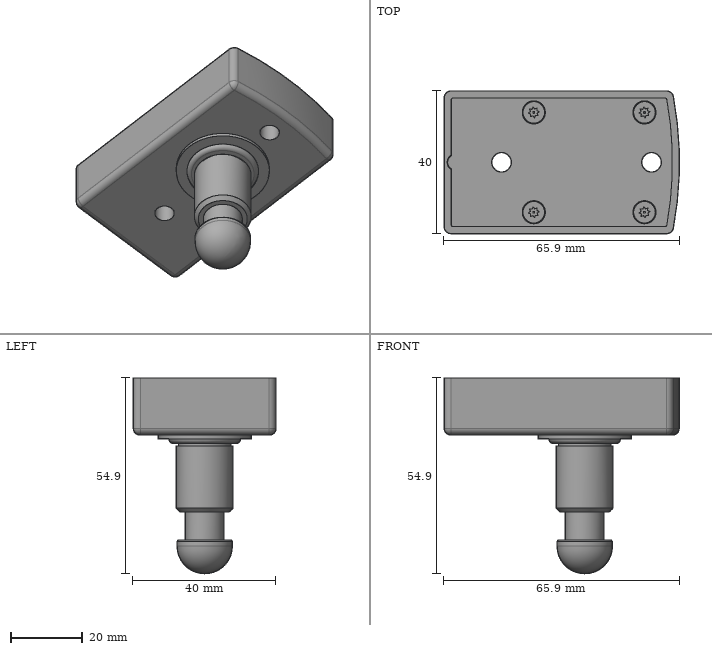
import cadquery as cq
import math


LENGTH = 65.9
WIDTH = 40.0
HEIGHT = 16.0
LEFT = -39.35
NOSE_RADIUS = 100.2
CORNER_RADIUS = 2.0
BOTTOM_RADIUS = 1.9
RIM = 2.0
RECESS_CORNER_RADIUS = 0.65

LID_THICKNESS = 2.65
LID_GAP = 0.1
TAB_RADIUS = 2.3
TAB_CENTRE_X = LEFT + 3.15

HOLE_RADIUS = 2.7
HOLE_POSITIONS = [(LEFT + 16.1, 0), (LEFT + 58.05, 0)]

SCREW_MIDDLE_X = LEFT + 40.6
SCREW_SPACING_X = 31.0
SCREW_SPACING_Y = 27.95
SCREW_POSITIONS = [
    (SCREW_MIDDLE_X + side_x * SCREW_SPACING_X / 2, side_y * SCREW_SPACING_Y / 2)
    for side_x in (-1, 1)
    for side_y in (-1, 1)
]
SINK_RADIUS = 3.2
HEAD_DROP = 0.2
SHANK_RADIUS = 1.5
SCREW_LENGTH = 7.9
SOCKET_DEPTH = 1.0
SOCKET_POINTS = 8
SOCKET_TIP_RADIUS = 1.5
SOCKET_ROOT_RADIUS = 1.0
SOCKET_TURN = 7.0
SOCKET_PIN_RADIUS = 0.25

FLANGE_RADIUS = 13.05
FLANGE_THICKNESS = 1.05
STEP_RADIUS = 10.0
STEP_THICKNESS = 1.3
STEP_EDGE_RADIUS = 1.25
BUSHING_BOTTOM = -(FLANGE_THICKNESS + STEP_THICKNESS)

TOTAL_HEIGHT = 54.85
COLLAR_RADIUS = 7.4
SLEEVE_RADIUS = 8.0
SLEEVE_TOP = -3.0
SLEEVE_BOTTOM = -21.55
SLEEVE_CHAMFER = 1.1
NECK_RADIUS = 5.5
BALL_RADIUS = 7.8
BALL_BOTTOM = HEIGHT - TOTAL_HEIGHT
BALL_CENTRE = BALL_BOTTOM + BALL_RADIUS
BALL_TOP = -29.3
BALL_EDGE_CHAMFER = 0.4


def body_outline(inset, corner_radius, bottom, height):
    """Block with one flat end and one bulging end, moved inwards by the inset."""
    half_width = WIDTH / 2 - inset
    nose_radius = NOSE_RADIUS - inset
    nose_x = LEFT + LENGTH - inset
    shoulder_x = nose_x - nose_radius + math.sqrt(nose_radius**2 - half_width**2)
    return (
        cq.Workplane("XY", origin=(0, 0, bottom))
        .moveTo(LEFT + inset, -half_width)
        .lineTo(shoulder_x, -half_width)
        .threePointArc((nose_x, 0), (shoulder_x, half_width))
        .lineTo(LEFT + inset, half_width)
        .close()
        .extrude(height)
        .edges("|Z")
        .fillet(corner_radius)
    )


def lid_blank(gap):
    """Lid shape with its round tab, drawn back by the gap at the flat end."""
    bottom = HEIGHT - LID_THICKNESS
    plate = body_outline(RIM, RECESS_CORNER_RADIUS, bottom, LID_THICKNESS)
    if gap > 0:
        gap_strip = cq.Workplane("XY").box(RIM + gap, WIDTH, HEIGHT, centered=(False, True, False))
        plate = plate.cut(gap_strip.translate((LEFT, 0, 0)))
    tab = (
        cq.Workplane("XY", origin=(TAB_CENTRE_X, 0, bottom))
        .circle(TAB_RADIUS - gap)
        .extrude(LID_THICKNESS)
    )
    return plate.union(tab)


def through_holes():
    return cq.Workplane("XY").pushPoints(HOLE_POSITIONS).circle(HOLE_RADIUS).extrude(HEIGHT)


def screw_envelope(top_radius, top):
    """90 degree countersunk head and shank, up to the given height."""
    cone_end = HEIGHT - (SINK_RADIUS - SHANK_RADIUS)
    screw_end = HEIGHT - SCREW_LENGTH
    return (
        cq.Workplane("XZ")
        .moveTo(0, top)
        .lineTo(top_radius, top)
        .lineTo(SHANK_RADIUS, cone_end)
        .lineTo(SHANK_RADIUS, screw_end)
        .lineTo(0, screw_end)
        .close()
        .revolve(360, (0, 0), (0, 1))
    )


def screw_holes():
    hole = screw_envelope(SINK_RADIUS, HEIGHT)
    holes = cq.Workplane("XY")
    for x, y in SCREW_POSITIONS:
        holes = holes.add(hole.translate((x, y, 0)))
    return holes.combine()


def star_socket(top):
    """Pointed star recess with a central pin left standing."""
    points = []
    for i in range(2 * SOCKET_POINTS):
        radius = SOCKET_TIP_RADIUS if i % 2 == 0 else SOCKET_ROOT_RADIUS
        angle = math.radians(SOCKET_TURN + i * 180 / SOCKET_POINTS)
        points.append((radius * math.cos(angle), radius * math.sin(angle)))
    floor = cq.Workplane("XY", origin=(0, 0, top - SOCKET_DEPTH))
    pin = floor.circle(SOCKET_PIN_RADIUS).extrude(SOCKET_DEPTH)
    return floor.polyline(points).close().extrude(SOCKET_DEPTH).cut(pin)


def make_housing():
    block = body_outline(0, CORNER_RADIUS, 0, HEIGHT)
    block = block.faces("<Z").edges().fillet(BOTTOM_RADIUS)
    return block.cut(lid_blank(0)).cut(through_holes()).cut(screw_holes())


def make_lid():
    return lid_blank(LID_GAP).cut(through_holes()).cut(screw_holes())


def make_screw(x, y):
    head_top = HEIGHT - HEAD_DROP
    screw = screw_envelope(SINK_RADIUS - HEAD_DROP, head_top).cut(star_socket(head_top))
    return screw.translate((x, y, 0))


def make_bushing():
    flange = cq.Workplane("XY").circle(FLANGE_RADIUS).extrude(-FLANGE_THICKNESS)
    step = (
        cq.Workplane("XY")
        .circle(STEP_RADIUS)
        .extrude(BUSHING_BOTTOM)
        .faces("<Z")
        .edges()
        .fillet(STEP_EDGE_RADIUS)
    )
    return flange.union(step)


def make_stud():
    diagonal = BALL_RADIUS * math.sqrt(0.5)
    return (
        cq.Workplane("XZ")
        .moveTo(0, BUSHING_BOTTOM)
        .lineTo(COLLAR_RADIUS, BUSHING_BOTTOM)
        .lineTo(COLLAR_RADIUS, SLEEVE_TOP)
        .lineTo(SLEEVE_RADIUS, SLEEVE_TOP)
        .lineTo(SLEEVE_RADIUS, SLEEVE_BOTTOM + SLEEVE_CHAMFER)
        .lineTo(SLEEVE_RADIUS - SLEEVE_CHAMFER, SLEEVE_BOTTOM)
        .lineTo(NECK_RADIUS, SLEEVE_BOTTOM)
        .lineTo(NECK_RADIUS, BALL_TOP)
        .lineTo(BALL_RADIUS - BALL_EDGE_CHAMFER, BALL_TOP)
        .lineTo(BALL_RADIUS, BALL_TOP - BALL_EDGE_CHAMFER)
        .lineTo(BALL_RADIUS, BALL_CENTRE)
        .threePointArc((diagonal, BALL_CENTRE - diagonal), (0, BALL_BOTTOM))
        .close()
        .revolve(360, (0, 0), (0, 1))
    )


housing = make_housing()
lid = make_lid()
screws = [make_screw(x, y) for x, y in SCREW_POSITIONS]
bushing = make_bushing()
stud = make_stud()

result = cq.Compound.makeCompound(
    [housing.val(), lid.val(), *[screw.val() for screw in screws], bushing.val(), stud.val()]
)